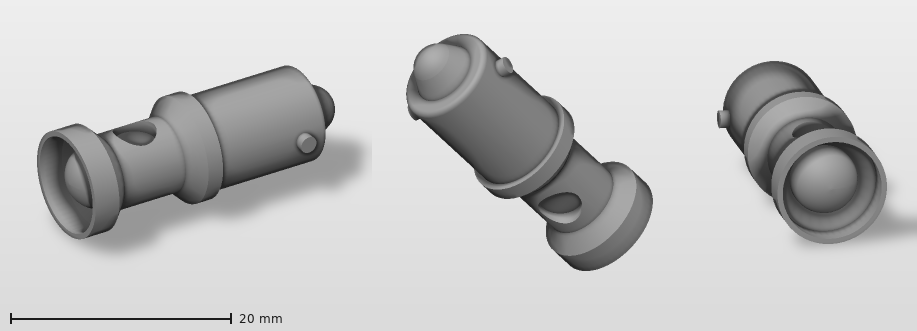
import cadquery as cq
import math

total_length = 28.15

rim_length = 2.53
neck_start = 4.03
neck_end = 10.5
collar_start = 12.0
collar_end = 13.55
body_end = 25.0
dome_start = 26.95

flange_radius = 10.2 / 2
neck_radius = 7.2 / 2
body_radius = 9.0 / 2
nose_base_radius = 2.98
dome_base_radius = 2.0
body_edge_radius = 0.48

cup_radius = 9.2 / 2
ball_radius = 6.2 / 2
ball_center = 3.43
ball_flat_radius = 0.08
cup_straight_depth = 2.35
cup_depth = cup_straight_depth + cup_radius - ball_radius

hole_diameter = 4.0
hole_center = (neck_start + neck_end) / 2
hole_floor_height = 2.25

pin_diameter = 1.6
pin_center = 22.5
pin_span = 10.7


def make_turned_body():
    """Outer profile with a domed nose, revolved about Y."""
    dome_height = total_length - dome_start
    dome_radius = (dome_base_radius**2 + dome_height**2) / (2 * dome_height)
    half_angle = math.asin(dome_base_radius / dome_radius) / 2
    dome_mid = (
        dome_radius * math.sin(half_angle),
        total_length - dome_radius * (1 - math.cos(half_angle)),
    )
    profile = (
        cq.Workplane("XY")
        .lineTo(flange_radius, 0)
        .lineTo(flange_radius, rim_length)
        .lineTo(neck_radius, neck_start)
        .lineTo(neck_radius, neck_end)
        .lineTo(flange_radius, collar_start)
        .lineTo(flange_radius, collar_end)
        .lineTo(body_radius, collar_end)
        .lineTo(body_radius, body_end - body_edge_radius)
        .radiusArc((body_radius - body_edge_radius, body_end), -body_edge_radius)
        .lineTo(nose_base_radius, body_end)
        .lineTo(dome_base_radius, dome_start)
        .threePointArc(dome_mid, (0, total_length))
        .close()
    )
    return profile.revolve(360, (0, 0, 0), (0, 1, 0))


def make_cup():
    """Space inside the rim: straight bore, taper, and a slightly flattened ball in the middle."""
    ball_mid = ball_radius * math.sqrt(0.5)
    flat_position = ball_center - math.sqrt(ball_radius**2 - ball_flat_radius**2)
    profile = (
        cq.Workplane("XY")
        .lineTo(cup_radius, 0)
        .lineTo(cup_radius, cup_straight_depth)
        .lineTo(ball_radius, cup_depth)
        .lineTo(ball_radius, ball_center)
        .threePointArc((ball_mid, ball_center - ball_mid), (ball_flat_radius, flat_position))
        .lineTo(0, flat_position)
        .close()
    )
    return profile.revolve(360, (0, 0, 0), (0, 1, 0))


def make_neck_hole(side):
    """Flat-bottomed hole cutter pointing to +Z (side = 1) or -Z (side = -1)."""
    depth = neck_radius - hole_floor_height
    return (
        cq.Workplane("XY", origin=(0, hole_center, side * hole_floor_height))
        .circle(hole_diameter / 2)
        .extrude(side * depth)
    )


def make_pins():
    """Cross pin whose ends stand out of both sides of the body."""
    return (
        cq.Workplane("YZ", origin=(0, pin_center, 0))
        .circle(pin_diameter / 2)
        .extrude(pin_span / 2, both=True)
    )


result = make_turned_body().cut(make_cup()).union(make_pins())
for side in (1, -1):
    result = result.cut(make_neck_hole(side))